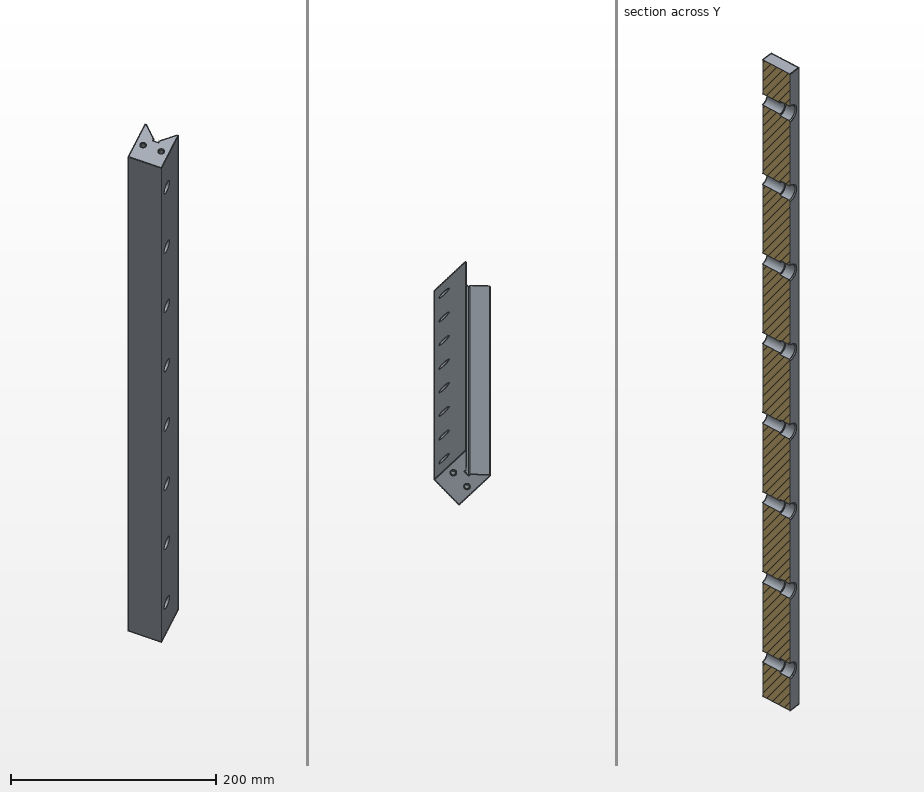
import cadquery as cq

WIDTH = 35.0
DEPTH = 42.0
LENGTH = 800.0
BACK = -DEPTH / 2
FRONT = DEPTH / 2
SIDE = WIDTH / 2
END_CHAMFER = 0.4

LIP_WIDTH = 2.0
RELIEF_WIDTH = 6.0
GROOVE_DEPTH = 15.0
FLANK_DEPTH = SIDE - LIP_WIDTH - RELIEF_WIDTH / 2

HOLE_COUNT = 8
HOLE_PITCH = LENGTH / HOLE_COUNT
HOLE_FROM_BACK = 14.0
HOLE_DIAMETER = 14.0
COUNTERBORE_DIAMETER = 18.0
COUNTERBORE_MOUTH_DIAMETER = 20.0
COUNTERBORE_DEPTH = 13.0

END_HOLE_SPACING = 19.0
END_HOLE_FROM_BACK = 18.0
END_HOLE_DIAMETER = 5.0
END_HOLE_MOUTH_DIAMETER = 6.0
END_HOLE_DEPTH = 16.0


def make_rail():
    """Extrude the half profile mirrored about the YZ plane and bevel the outline of both ends."""
    half_profile = [
        (0, BACK),
        (SIDE, BACK),
        (SIDE, FRONT),
        (SIDE - LIP_WIDTH, FRONT),
        (RELIEF_WIDTH / 2, FRONT - FLANK_DEPTH),
        (RELIEF_WIDTH / 2, FRONT - GROOVE_DEPTH),
        (0, FRONT - GROOVE_DEPTH),
    ]
    rail = cq.Workplane("XY").polyline(half_profile).mirrorY().extrude(LENGTH)
    return rail.faces("<Z or >Z").edges().chamfer(END_CHAMFER)


def make_drill(mouth_diameter, diameter, depth):
    """Tool pointing along +Z from the origin, with a 45 degree cone at its mouth."""
    mouth_radius = mouth_diameter / 2
    radius = diameter / 2
    half_section = [
        (0, 0),
        (mouth_radius, 0),
        (radius, mouth_radius - radius),
        (radius, depth),
        (0, depth),
    ]
    return cq.Workplane("XZ").polyline(half_section).close().revolve(360, (0, 0), (0, 1))


def make_mounting_hole():
    """Through hole along X at Z = 0, counterbored from the -X face."""
    bore = cq.Workplane("XY").circle(HOLE_DIAMETER / 2).extrude(WIDTH)
    counterbore = make_drill(COUNTERBORE_MOUTH_DIAMETER, COUNTERBORE_DIAMETER, COUNTERBORE_DEPTH)
    upright_hole = bore.union(counterbore)
    return upright_hole.rotate((0, 0, 0), (0, 1, 0), 90).translate((-SIDE, BACK + HOLE_FROM_BACK, 0))


def make_end_holes():
    """Pairs of blind holes entering the bottom and top ends."""
    drill = make_drill(END_HOLE_MOUTH_DIAMETER, END_HOLE_DIAMETER, END_HOLE_DEPTH)
    position = (END_HOLE_SPACING / 2, BACK + END_HOLE_FROM_BACK, 0)
    bottom_right = drill.translate(position)
    bottom_pair = bottom_right.union(bottom_right.mirror("YZ"))
    top_pair = bottom_pair.mirror("XY").translate((0, 0, LENGTH))
    return bottom_pair.union(top_pair)


result = make_rail().cut(make_end_holes())

mounting_hole = make_mounting_hole()
for index in range(HOLE_COUNT):
    height = (index + 0.5) * HOLE_PITCH
    result = result.cut(mounting_hole.translate((0, 0, height)))